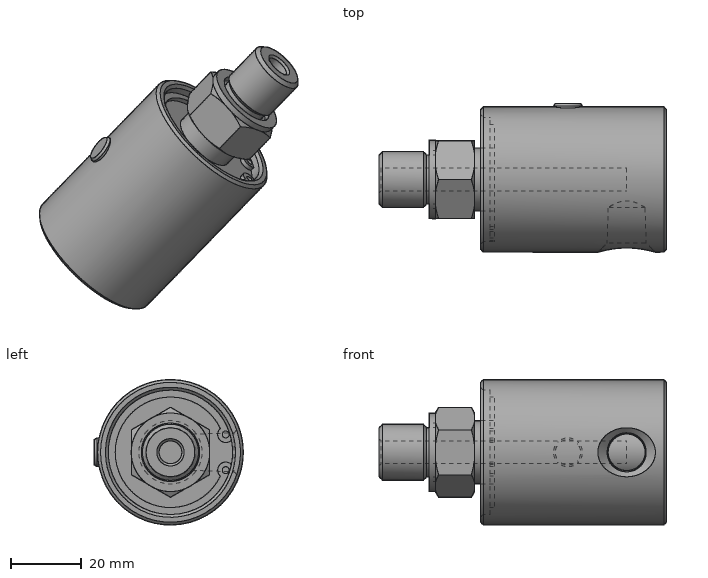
import cadquery as cq
import math

total_length = 81.2
flange_start = 14.2
hex_start = 15.9
hex_end = 27.0
housing_start = 28.7

thread_radius = 15.8 / 2
thread_chamfer = 1.05
undercut_radius = 7.0
undercut_to_flange = 0.7
flange_radius = 22.2 / 2
flange_hole_radius = 16.5 / 2
hex_across_flats = 22.0
hex_chamfer_angle = 30.0
collar_radius = 17.9 / 2
bore_radius = 6.4 / 2
bore_chamfer = 0.65

housing_radius = 41.1 / 2
housing_chamfer = 0.8
recess_radius = 35.1 / 2
recess_chamfer = 0.8
recess_depth = 3.9

ring_thickness = 1.2
ring_inner_radius = 15.6
ear_radius = 2.3
ear_hole_radius = 1.95 / 2
ear_y = -15.6
ear_z = 5.0

port_x = 69.9
shaft_radius = 15.8 / 2
port_radius = 11.05 / 2
port_taper = 1 / 16
port_mouth_radius = 16.2 / 2

plug_x = 53.35
plug_radius = 4.1
plug_height = 1.0
plug_chamfer_width = 0.5
plug_chamfer_height = 0.7


def rod(start, end, radius):
    """Cylinder along the X axis between two stations."""
    return cq.Workplane("YZ").workplane(offset=start).circle(radius).extrude(end - start)


def revolve_about_x(points):
    """Solid of revolution about X from (x, radius) points."""
    return cq.Workplane("XY").polyline(points).close().revolve(360, (0, 0, 0), (1, 0, 0))


def make_housing():
    body = rod(housing_start, total_length, housing_radius).faces("<X or >X").chamfer(housing_chamfer)
    recess = revolve_about_x([
        (housing_start, 0),
        (housing_start, recess_radius + recess_chamfer),
        (housing_start + recess_chamfer, recess_radius),
        (housing_start + recess_depth, recess_radius),
        (housing_start + recess_depth, 0),
    ])
    return body.cut(recess)


def make_hex():
    side_count = 6
    corner_radius = hex_across_flats / 2 / math.cos(math.pi / side_count)
    chamfer_length = (corner_radius - flange_radius) * math.tan(math.radians(hex_chamfer_angle))
    prism = (
        cq.Workplane("YZ").workplane(offset=hex_start)
        .transformed(rotate=(0, 0, 90))
        .polygon(side_count, 2 * corner_radius).extrude(hex_end - hex_start)
    )
    envelope = revolve_about_x([
        (hex_start, 0),
        (hex_start, flange_radius),
        (hex_start + chamfer_length, corner_radius),
        (hex_end - chamfer_length, corner_radius),
        (hex_end, flange_radius),
        (hex_end, 0),
    ])
    return prism.intersect(envelope)


def make_spindle():
    undercut_start = flange_start - undercut_to_flange
    taper_length = thread_radius - undercut_radius
    thread = revolve_about_x([
        (0, 0),
        (0, thread_radius - thread_chamfer),
        (thread_chamfer, thread_radius),
        (undercut_start - taper_length, thread_radius),
        (undercut_start, undercut_radius),
        (hex_start, undercut_radius),
        (hex_start, 0),
    ])
    flange_hole = rod(flange_start, hex_start, flange_hole_radius)
    flange = rod(flange_start, hex_start, flange_radius).cut(flange_hole)
    collar = rod(hex_end, housing_start + recess_depth, collar_radius)
    return thread.union(flange).union(make_hex()).union(collar)


def make_retaining_ring():
    floor = housing_start + recess_depth
    top = floor - ring_thickness
    ring = rod(top, floor, recess_radius).cut(rod(top, floor, ring_inner_radius))
    gap = cq.Workplane("YZ").workplane(offset=top).center(-recess_radius, 0)
    ring = ring.cut(gap.rect(recess_radius, 2 * ear_z).extrude(ring_thickness))
    ear_centers = [(ear_y, ear_z), (ear_y, -ear_z)]
    face = cq.Workplane("YZ").workplane(offset=top).pushPoints(ear_centers)
    ears = face.circle(ear_radius).extrude(ring_thickness).intersect(rod(top, floor, recess_radius))
    holes = face.circle(ear_hole_radius).extrude(ring_thickness)
    return ring.union(ears).cut(holes)


def make_plug():
    top = housing_radius + plug_height
    profile = [
        (0, 0),
        (plug_radius, 0),
        (plug_radius, top - plug_chamfer_height),
        (plug_radius - plug_chamfer_width, top),
        (0, top),
    ]
    plug = cq.Workplane("XY").polyline(profile).close().revolve(360, (0, 0, 0), (0, 1, 0))
    return plug.translate((plug_x, 0, 0))


def make_port():
    sink_depth = port_mouth_radius - port_radius
    hole_depth = housing_radius - sink_depth
    profile = [
        (0, 0),
        (port_radius - hole_depth * port_taper / 2, 0),
        (port_radius, -hole_depth),
        (port_mouth_radius, -housing_radius),
        (0, -housing_radius),
    ]
    port = cq.Workplane("XY").polyline(profile).close().revolve(360, (0, 0, 0), (0, 1, 0))
    return port.translate((port_x, 0, 0)).cut(rod(housing_start, total_length, shaft_radius))


def make_bore():
    return revolve_about_x([
        (0, 0),
        (0, bore_radius + bore_chamfer),
        (bore_chamfer, bore_radius),
        (port_x, bore_radius),
        (port_x, 0),
    ])


result = (
    make_housing()
    .union(make_spindle())
    .union(make_retaining_ring())
    .union(make_plug())
    .cut(make_port())
    .cut(make_bore())
)